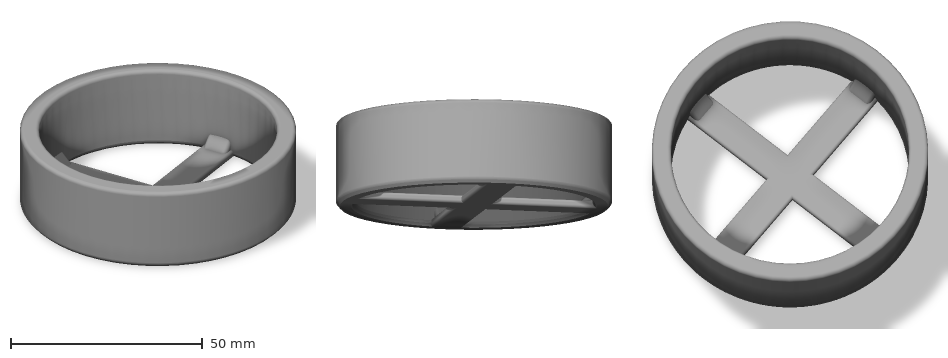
import cadquery as cq

outer_diameter = 72.0
inner_diameter = 62.0
ring_height = 22.0
edge_size = 1.0

bar_width = 8.65
bar_thickness = 2.0
bar_rounding = 0.7

block_width = 7.0
block_reach = 2.95
block_slope = 1.0
block_overlap = 0.35
block_count = 4

outer_radius = outer_diameter / 2
inner_radius = inner_diameter / 2
middle_radius = (outer_radius + inner_radius) / 2


def make_ring():
    """Ring with rounded top rims and eased chamfers on both bottom edges."""
    ring = cq.Workplane("XY").circle(outer_radius).circle(inner_radius).extrude(ring_height)
    ring = ring.faces(">Z").edges().fillet(edge_size)
    ring = ring.faces("<Z").edges().chamfer(edge_size)
    chamfer_tops = cq.selectors.BoxSelector(
        (-outer_diameter, -outer_diameter, 0.5 * edge_size),
        (outer_diameter, outer_diameter, 1.5 * edge_size),
        boundingbox=True,
    )
    return ring.edges(chamfer_tops).fillet(edge_size)


def make_cross():
    """Two crossing bars with rounded top and bottom edges, ending inside the ring wall."""
    bar_length = outer_diameter
    on_ground = (True, True, False)
    x_bar = cq.Workplane("XY").box(bar_length, bar_width, bar_thickness, centered=on_ground)
    y_bar = cq.Workplane("XY").box(bar_width, bar_length, bar_thickness, centered=on_ground)
    cross = x_bar.union(y_bar).faces(">Z or <Z").edges().fillet(bar_rounding)
    return cross.intersect(cq.Workplane("XY").circle(middle_radius).extrude(bar_thickness))


def make_block():
    """Block on the +X bar end, sloping up to the wall, with rounded slope sides."""
    toe = inner_radius - block_reach
    wall_overlap = outer_radius - inner_radius
    slope_run = block_reach + wall_overlap
    block = (
        cq.Workplane("XZ")
        .moveTo(toe, 0)
        .vLineTo(bar_thickness)
        .line(slope_run, slope_run * block_slope)
        .vLineTo(0)
        .close()
        .extrude(block_width / 2, both=True)
    )
    block = block.edges("not(|X or |Y or |Z)").fillet(edge_size)
    return block.intersect(cq.Workplane("XY").circle(inner_radius + block_overlap).extrude(ring_height))


result = make_ring().union(make_cross())
block = make_block()
for index in range(block_count):
    result = result.union(block.rotate((0, 0, 0), (0, 0, 1), index * 360 / block_count))